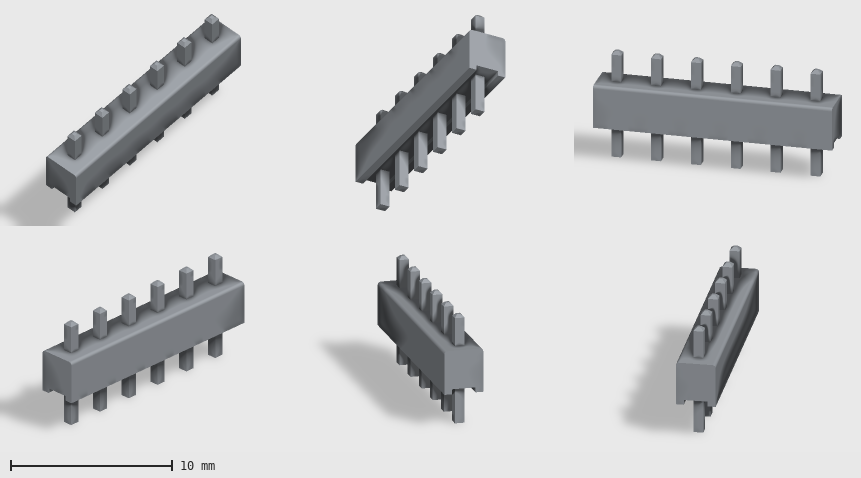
import cadquery as cq

pin_count = 6
housing_length = 15.24
pitch = housing_length / pin_count
row_shift = -0.03

housing_width = 2.5
housing_height = 2.8
edge_radius = 0.2
channel_width = 1.5
channel_depth = 0.32

pin_width = 0.62
pin_above = 2.0
pin_total = 7.0
tip_chamfer = 0.2

pin_top = housing_height + pin_above
pin_bottom = pin_top - pin_total

pin_places = [(0, row_shift + (i - (pin_count - 1) / 2) * pitch) for i in range(pin_count)]


def make_housing():
    block = cq.Workplane("XY").box(
        housing_width, housing_length, housing_height, centered=(True, True, False)
    )
    block = block.edges("|Y and >Z").fillet(edge_radius)

    channel = cq.Workplane("XY").box(
        channel_width, housing_length, channel_depth, centered=(True, True, False)
    )

    pin_holes = (
        cq.Workplane("XY")
        .pushPoints(pin_places)
        .rect(pin_width, pin_width)
        .extrude(housing_height)
    )
    return block.cut(channel).cut(pin_holes).solids()


def make_pin(place):
    x, y = place
    post = (
        cq.Workplane("XY", origin=(x, y, pin_bottom))
        .rect(pin_width, pin_width)
        .extrude(pin_total)
    )
    return post.faces(">Z").chamfer(tip_chamfer).solids()


housing = make_housing()
pins = [make_pin(place) for place in pin_places]

result = cq.Compound.makeCompound([housing.val(), *[pin.val() for pin in pins]])